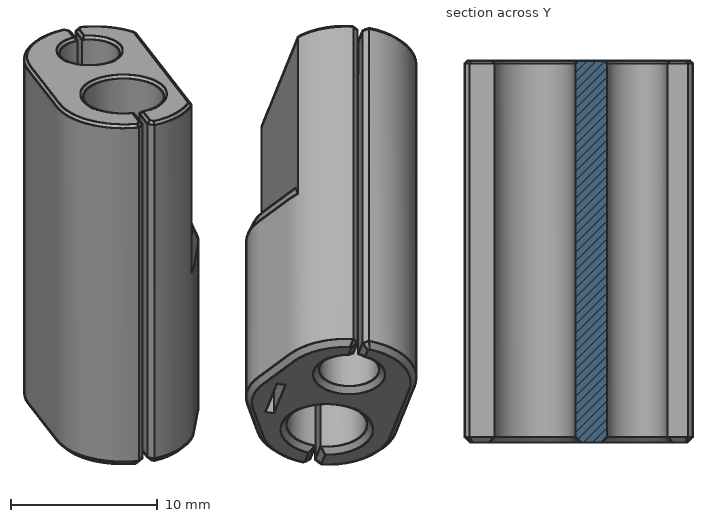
import cadquery as cq
import math

HEIGHT = 26.0
END_RADIUS = 4.8
END_OFFSET = 3.0
FLAT_Y = 3.95

HUMP_HEIGHT = 14.0
HUMP_PEAK_Y = 6.2
HUMP_RADIUS = 4.2
HUMP_BEVEL_HEIGHT = 0.95
HUMP_BEVEL_INSET = 0.4

SMALL_BORE = (-4.0, 2.05)
LARGE_BORE = (3.0, 2.75)

SLIT_WIDTH = 0.35
LIP_CHAMFER = 0.375

TIE_WIDTH = 3.6
TIE_DEPTH = 0.6

TOP_CHAMFER = 0.2
BOTTOM_CHAMFER = 0.4

SIDE_LENGTH = 2 * (END_OFFSET + END_RADIUS)


def make_body():
    """Stadium-shaped block with the rear side trimmed to a flat."""
    stadium = cq.Workplane("XY").slot2D(SIDE_LENGTH, 2 * END_RADIUS).extrude(HEIGHT)
    keep = cq.Workplane("XY").box(
        SIDE_LENGTH, FLAT_Y + END_RADIUS, HEIGHT, centered=(True, False, False)
    ).translate((0, -END_RADIUS, 0))
    return stadium.intersect(keep)


def make_hump():
    """Crest arc joined to both end arcs by their common tangents, kept only behind the flat."""
    crest_y = HUMP_PEAK_Y - HUMP_RADIUS
    centre_distance = math.hypot(END_OFFSET, crest_y)
    slope = math.atan2(crest_y, END_OFFSET) - math.asin((END_RADIUS - HUMP_RADIUS) / centre_distance)
    normal_x = math.sin(slope)
    normal_y = math.cos(slope)

    crest_point = (HUMP_RADIUS * normal_x, crest_y + HUMP_RADIUS * normal_y)
    end_point = (END_OFFSET + END_RADIUS * normal_x, END_RADIUS * normal_y)
    arc_middle_angle = math.pi / 4 - slope / 2
    end_middle = (
        END_OFFSET + END_RADIUS * math.cos(arc_middle_angle),
        END_RADIUS * math.sin(arc_middle_angle),
    )

    def mirrored(point):
        return (-point[0], point[1])

    end_tip = (END_OFFSET + END_RADIUS, 0)
    outline = (
        cq.Workplane("XY")
        .moveTo(*end_tip)
        .threePointArc(end_middle, end_point)
        .lineTo(*crest_point)
        .threePointArc((0, HUMP_PEAK_Y), mirrored(crest_point))
        .lineTo(*mirrored(end_point))
        .threePointArc(mirrored(end_middle), mirrored(end_tip))
        .close()
    )
    hump = outline.extrude(HUMP_HEIGHT)
    top_rim = hump.faces(">Z").edges(cq.selectors.BoxSelector(
        (-SIDE_LENGTH, FLAT_Y / 4, 0), (SIDE_LENGTH, HUMP_PEAK_Y, HEIGHT)))
    hump = top_rim.chamfer(HUMP_BEVEL_HEIGHT, HUMP_BEVEL_INSET)
    behind_flat = cq.Workplane("XY").box(
        SIDE_LENGTH, HUMP_PEAK_Y, HUMP_HEIGHT, centered=(True, False, False)
    ).translate((0, FLAT_Y, 0))
    return hump.intersect(behind_flat)


def cut_bores_and_slits(part):
    """Both bores, each opened sideways by a narrow slit with bevelled outer lips."""
    for centre_x, radius in (SMALL_BORE, LARGE_BORE):
        bore = cq.Workplane("XY").center(centre_x, 0).circle(radius).extrude(HEIGHT)
        slit_end = math.copysign(SIDE_LENGTH, centre_x)
        slit = (
            cq.Workplane("XY")
            .center((centre_x + slit_end) / 2, 0)
            .rect(abs(slit_end - centre_x), SLIT_WIDTH)
            .extrude(HEIGHT)
        )
        part = part.cut(bore).cut(slit)

    for side in (-1, 1):
        tip_x = side * (END_OFFSET + END_RADIUS)
        near_lip = cq.selectors.BoxSelector(
            (tip_x - LIP_CHAMFER, -SLIT_WIDTH, 0), (tip_x + LIP_CHAMFER, SLIT_WIDTH, HEIGHT)
        )
        part = part.edges("|Z").edges(near_lip).chamfer(LIP_CHAMFER)
    return part


def cut_tie_opening(part):
    """Rectangular passage between the flat and the hump, through to the underside."""
    opening = cq.Workplane("XY").center(0, FLAT_Y + TIE_DEPTH / 2).rect(TIE_WIDTH, TIE_DEPTH)
    return part.cut(opening.extrude(HUMP_HEIGHT))


result = make_body().union(make_hump())
result = cut_bores_and_slits(result)
result = result.faces("<Z").chamfer(BOTTOM_CHAMFER)
result = result.faces(">Z").chamfer(TOP_CHAMFER)
result = cut_tie_opening(result)